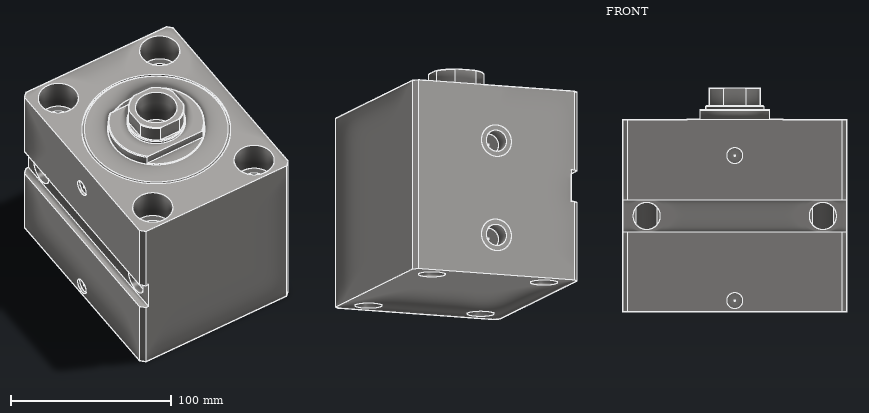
import cadquery as cq
import math

LENGTH = 140.0
WIDTH = 110.0
BLOCK_HEIGHT = 120.1
TOTAL_HEIGHT = 140.0
CORNER_CHAMFER = 3.0

HOLE_X = 55.0
HOLE_Y = 37.5
HOLE_DIAMETER = 17.0
COUNTERBORE_DIAMETER = 25.0
COUNTERBORE_DEPTH = 21.0

SLOT_BOTTOM = 50.0
SLOT_TOP = 70.0
SLOT_DEPTH = 4.9
POCKET_DEPTH = 7.3

PORT_HEIGHTS = (25.0, 85.0)
PORT_SPOTFACE_DIAMETER = 20.0
PORT_SPOTFACE_DEPTH = 0.1
PORT_DIAMETER = 13.5
PORT_DEPTH = 14.0

BLEED_HEIGHTS = (7.1, 97.7)
BLEED_DIAMETER = 10.0
BLEED_DEPTH = 1.5

PILOT_DIAMETER = 1.0
PILOT_DEPTH = 2.8

GLAND_DIAMETER = 93.0
GLAND_CHAMFER = 1.5
BORE_CHAMFER = 0.4
GLAND_DEPTH = 25.0

ROD_DIAMETER = 60.0
ROD_CHAMFER = 0.5
FLATS_BOTTOM = BLOCK_HEIGHT + 0.5
SHOULDER_TOP = BLOCK_HEIGHT + 6.5
ROD_FLATS_WIDTH = 43.7
COLLAR_DIAMETER = 36.5
COLLAR_TOP = BLOCK_HEIGHT + 8.8
COLLAR_CHAMFER = 0.5
HEAD_DIAMETER = 34.9
HEAD_FLATS_WIDTH = 31.9
HEAD_CHAMFER = 0.4
SOCKET_DIAMETER = 25.9
SOCKET_DEPTH = 25.2
DRILL_POINT_ANGLE = 118.0

FRONT_Y = -WIDTH / 2
LEFT_X = -LENGTH / 2
SLOT_FLOOR_Y = FRONT_Y + SLOT_DEPTH
RECESS_FLOOR = BLOCK_HEIGHT - GLAND_DEPTH
TO_BACK = cq.Vector(0, 1, 0)
TO_RIGHT = cq.Vector(1, 0, 0)


def drilling(diameter, depth, start, direction):
    """Cylinder that runs from a start point along a direction."""
    return cq.Workplane(cq.Solid.makeCylinder(diameter / 2, depth, cq.Vector(*start), direction))


def upright(diameter, bottom, top, chamfer=0):
    """Vertical cylinder on the main axis, optionally chamfered at its top edge."""
    cylinder = cq.Workplane().workplane(offset=bottom).circle(diameter / 2).extrude(top - bottom)
    return cylinder.faces(">Z").chamfer(chamfer) if chamfer else cylinder


def slab(x_size, y_size, bottom, top):
    """Centred rectangular block between two heights."""
    return cq.Workplane().workplane(offset=bottom).rect(x_size, y_size).extrude(top - bottom)


def cut_mounting_holes(body):
    """Four counterbored holes right through the housing."""
    return (
        body.faces(">Z")
        .workplane(origin=(0, 0, 0))
        .rect(2 * HOLE_X, 2 * HOLE_Y, forConstruction=True)
        .vertices()
        .cboreHole(HOLE_DIAMETER, COUNTERBORE_DIAMETER, COUNTERBORE_DEPTH)
    )


def cut_cross_slot(body):
    """Slot along the front face and the two round pockets in its floor."""
    slot = slab(LENGTH, 2 * SLOT_DEPTH, SLOT_BOTTOM, SLOT_TOP).translate((0, FRONT_Y, 0))
    body = body.cut(slot)
    slot_middle = (SLOT_BOTTOM + SLOT_TOP) / 2
    for x in (-HOLE_X, HOLE_X):
        body = body.cut(drilling(HOLE_DIAMETER, POCKET_DEPTH, (x, SLOT_FLOOR_Y, slot_middle), TO_BACK))
    return body


def cut_oil_ports(body):
    """Spotfaced blind ports in the left face."""
    for z in PORT_HEIGHTS:
        start = (LEFT_X, 0, z)
        body = body.cut(drilling(PORT_SPOTFACE_DIAMETER, PORT_SPOTFACE_DEPTH, start, TO_RIGHT))
        body = body.cut(drilling(PORT_DIAMETER, PORT_DEPTH, start, TO_RIGHT))
        body = body.cut(drilling(PILOT_DIAMETER, PORT_DEPTH + PILOT_DEPTH, start, TO_RIGHT))
    return body


def cut_bleed_ports(body):
    """Shallow ports on the middle of the front face."""
    for z in BLEED_HEIGHTS:
        start = (0, FRONT_Y, z)
        body = body.cut(drilling(BLEED_DIAMETER, BLEED_DEPTH, start, TO_BACK))
        body = body.cut(drilling(PILOT_DIAMETER, BLEED_DEPTH + PILOT_DEPTH, start, TO_BACK))
    return body


def make_housing():
    """Block with chamfered upright edges and a round recess for the gland and rod."""
    body = slab(LENGTH, WIDTH, 0, BLOCK_HEIGHT).edges("|Z").chamfer(CORNER_CHAMFER)
    body = cut_mounting_holes(body)
    body = body.cut(upright(GLAND_DIAMETER, RECESS_FLOOR, BLOCK_HEIGHT))
    body = cut_cross_slot(body)
    body = cut_oil_ports(body)
    return cut_bleed_ports(body)


def make_gland():
    """Ring flush with the housing top, chamfered at its outer edge and around its bore."""
    ring = upright(GLAND_DIAMETER, RECESS_FLOOR, BLOCK_HEIGHT, GLAND_CHAMFER)
    ring = ring.cut(upright(ROD_DIAMETER, RECESS_FLOOR, BLOCK_HEIGHT))
    bore_edge = ring.faces(">Z").edges(cq.selectors.RadiusNthSelector(0))
    return bore_edge.chamfer(BORE_CHAMFER)


def make_socket():
    """Blind hole with a conical end, sunk into the rod from the top."""
    radius = SOCKET_DIAMETER / 2
    shoulder = TOTAL_HEIGHT - SOCKET_DEPTH
    tip = shoulder - radius / math.tan(math.radians(DRILL_POINT_ANGLE / 2))
    profile = [(0, tip), (radius, shoulder), (radius, TOTAL_HEIGHT), (0, TOTAL_HEIGHT)]
    return cq.Workplane("XZ").polyline(profile).close().revolve(360, (0, 0), (0, 1))


def make_piston_rod():
    """Rod with two wrench flats, a collar and a four-flat head with a socket."""
    rod = upright(ROD_DIAMETER, RECESS_FLOOR, FLATS_BOTTOM)
    shoulder = upright(ROD_DIAMETER, FLATS_BOTTOM, SHOULDER_TOP, ROD_CHAMFER)
    shoulder = shoulder.intersect(slab(ROD_FLATS_WIDTH, ROD_DIAMETER, FLATS_BOTTOM, SHOULDER_TOP))
    collar = upright(COLLAR_DIAMETER, SHOULDER_TOP, COLLAR_TOP, COLLAR_CHAMFER)
    head = upright(HEAD_DIAMETER, COLLAR_TOP, TOTAL_HEIGHT, HEAD_CHAMFER)
    head = head.intersect(slab(HEAD_FLATS_WIDTH, HEAD_FLATS_WIDTH, COLLAR_TOP, TOTAL_HEIGHT))
    return rod.union(shoulder).union(collar).union(head).cut(make_socket())


housing = make_housing()
gland = make_gland()
piston_rod = make_piston_rod()

result = cq.Compound.makeCompound([housing.val(), gland.val(), piston_rod.val()])